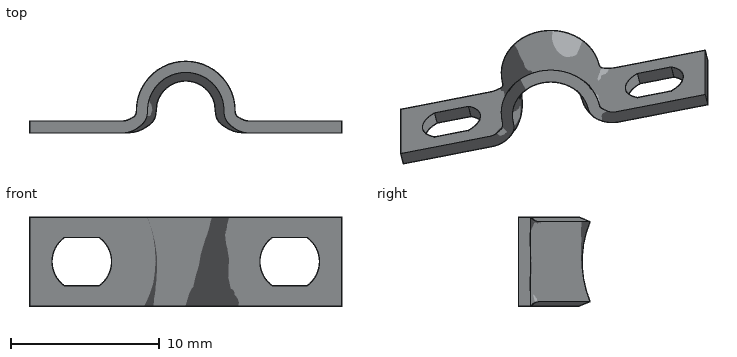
import cadquery as cq
import math

length = 21.0
height = 6.0
thickness = 0.82
saddle_center_y = 1.51
waist_radius = 1.97
flare_radius = 7.83
leg_start_middle = 4.05
leg_start_edge = 4.39
hole_offset = 7.0
hole_diameter = 4.0
hole_flat_height = 3.23
join_tolerance = 0.001
guide_steps = 6

half_height = height / 2
flare_center = waist_radius + flare_radius
flare_angle = math.asin(half_height / flare_radius)
back_flare_radius = flare_radius - thickness


def flare_point(radius, angle):
    """Distance from the saddle axis and height of a point on a flare arc."""
    return flare_center - radius * math.cos(angle), radius * math.sin(angle)


inner_end = flare_point(flare_radius, flare_angle)
outer_end = flare_point(back_flare_radius, flare_angle)
inner_waist = flare_point(flare_radius, 0)
outer_waist = flare_point(back_flare_radius, 0)


def make_saddle():
    profile = (
        cq.Workplane("XZ")
        .moveTo(inner_end[0], -inner_end[1])
        .threePointArc(inner_waist, inner_end)
        .lineTo(*outer_end)
        .threePointArc(outer_waist, (outer_end[0], -outer_end[1]))
        .close()
    )
    half_ring = profile.revolve(180, (0, 0), (0, 1))
    return half_ring.translate((0, saddle_center_y, 0))


def make_leg():
    plate = (
        cq.Workplane("XZ")
        .moveTo(leg_start_edge, -half_height)
        .threePointArc((leg_start_middle, 0), (leg_start_edge, half_height))
        .lineTo(length / 2, half_height)
        .lineTo(length / 2, -half_height)
        .close()
        .extrude(-thickness)
    )
    hole = cq.Workplane("XZ").center(hole_offset, 0).circle(hole_diameter / 2).extrude(-thickness)
    flats = (
        cq.Workplane("XZ")
        .center(hole_offset, 0)
        .rect(hole_diameter, hole_flat_height)
        .extrude(-thickness)
    )
    return plate.cut(hole.intersect(flats))


def bend_points(saddle_xz, leg_xz, leg_y):
    """Start, middle and end of a quarter-ellipse bend from the saddle to a leg."""
    start = cq.Vector(saddle_xz[0], saddle_center_y, saddle_xz[1])
    end = cq.Vector(leg_xz[0], leg_y, leg_xz[1])
    far = math.sin(math.pi / 4)
    near = 1 - far
    middle = cq.Vector(
        start.x + near * (end.x - start.x),
        start.y + far * (end.y - start.y),
        (start.z + end.z) / 2,
    )
    return start, middle, end


def bend_skin(saddle_end, saddle_waist, leg_y):
    """Boundary edges (bottom, leg, top, saddle) and face of one side of the bend."""
    top = bend_points(saddle_end, (leg_start_edge, half_height), leg_y)
    bottom = [cq.Vector(p.x, p.y, -p.z) for p in top]
    waist = bend_points(saddle_waist, (leg_start_middle, 0), leg_y)
    tangents = [cq.Vector(0, -1, 0), cq.Vector(1, 0, 0)]
    waist_curve = cq.Edge.makeSpline(list(waist), tangents=tangents)
    edges = [
        cq.Edge.makeSpline(bottom, tangents=tangents),
        cq.Edge.makeThreePointArc(bottom[-1], waist[-1], top[-1]),
        cq.Edge.makeSpline(list(top), tangents=tangents),
        cq.Edge.makeThreePointArc(bottom[0], waist[0], top[0]),
    ]
    interior = [waist_curve.positionAt(step / guide_steps) for step in range(1, guide_steps)]
    return edges, cq.Face.makeNSidedSurface(edges, interior)


def make_bend():
    front_edges, front_face = bend_skin(inner_end, inner_waist, 0)
    back_edges, back_face = bend_skin(outer_end, outer_waist, thickness)
    rims = [cq.Face.makeRuledSurface(a, b) for a, b in zip(front_edges, back_edges)]
    shell = cq.Shell.makeShell([front_face, back_face] + rims)
    return cq.Workplane(cq.Solid.makeSolid(shell).fix())


side = make_leg().union(make_bend(), tol=join_tolerance)
clip = make_saddle().union(side, tol=join_tolerance).union(side.mirror("YZ"), tol=join_tolerance)
result = clip.solids()